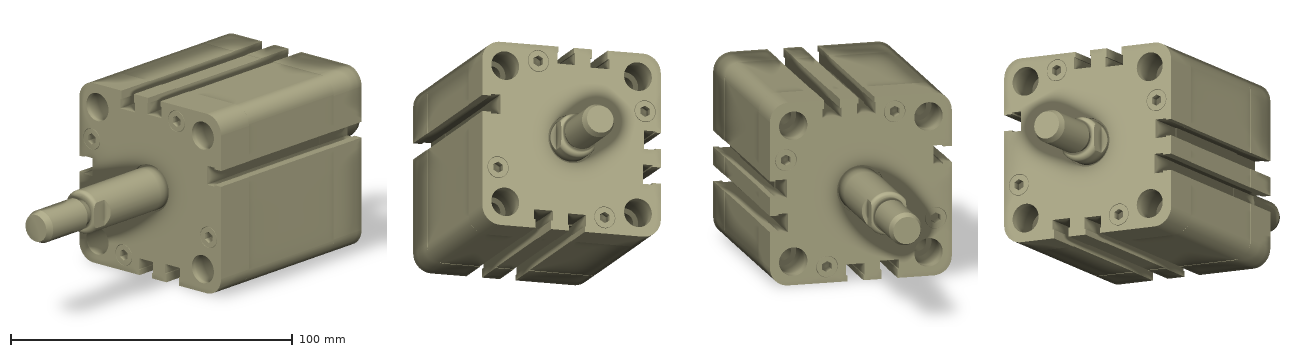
import cadquery as cq
import math


total_length = 168.5
cap_side = 67.0
tube_side = 66.7
body_length = 75.7
cap_length = 15.0
rear_rod_length = 31.3

rear_tip_y = total_length / 2
front_tip_y = -total_length / 2
body_back_y = rear_tip_y - rear_rod_length
body_front_y = body_back_y - body_length
tube_back_y = body_back_y - cap_length
tube_front_y = body_front_y + cap_length

cap_corner_radius = 6.7
tube_corner_radius = 6.0

slot_mouth = 5.9
deep_slot_offset = -10.6
deep_slot_cavity = 7.0
deep_slot_lip = 3.2
deep_slot_depth = 6.7
shallow_slot_offset = 2.0
shallow_slot_cavity = 6.7
shallow_slot_lip = 2.0
shallow_slot_depth = 6.2
shallow_slot_tube_depth = 5.5

deep_slot_turns = (0, 90, 180, 270)
shallow_slot_turns = (0, 180, 270)

mount_offset = 25.0
mount_hole_diameter = 6.5
mount_bore_diameter = 10.5

screw_x = 12.5
screw_z = 27.6
screw_pocket_diameter = 8.0
screw_head_diameter = 7.5
screw_gap_depth = 0.8
socket_across_flats = 3.5
socket_depth = 3.4

rod_diameter = 16.0
rod_ring_diameter = 17.5
rod_ring_depth = 0.8

thread_diameter = 12.0
thread_tip_diameter = 10.0
thread_tip_length = 2.5
thread_length = 21.0
undercut_diameter = 10.0
undercut_taper_length = 0.5
shoulder_distance = 24.0
shoulder_radius = 1.7
flat_end_distance = 29.7
flat_runout_length = 1.5
across_flats = 12.8


def section(y_back):
    """Sketch plane across the rod axis; positive extrusion runs toward -Y."""
    return cq.Workplane("XZ", origin=(0, y_back, 0))


def rounded_block(y_front, y_back, side, corner_radius):
    block = section(y_back).rect(side, side).extrude(y_back - y_front)
    return block.edges("|Y").fillet(corner_radius)


def turned(shape, angle):
    return shape.rotate((0, 0, 0), (0, 1, 0), angle)


def mirrored_to_back(shape):
    """Mirror a front-end shape about the middle of the body."""
    middle_y = (body_front_y + body_back_y) / 2
    return shape.mirror("XZ", (0, middle_y, 0))


def top_slot(offset, cavity, lip, depth, top, y_front, y_back):
    """T-slot cutter below a top side at height `top`, between two positions along Y."""
    half_mouth = slot_mouth / 2
    half_cavity = cavity / 2
    lip_z = top - lip
    floor_z = top - depth
    outline = [
        (offset - half_mouth, top),
        (offset - half_mouth, lip_z),
        (offset - half_cavity, lip_z),
        (offset - half_cavity, floor_z),
        (offset + half_cavity, floor_z),
        (offset + half_cavity, lip_z),
        (offset + half_mouth, lip_z),
        (offset + half_mouth, top),
    ]
    return section(y_back).polyline(outline).close().extrude(y_back - y_front)


def cut_slots(block, side, shallow_depth, y_front, y_back):
    span = (side / 2, y_front, y_back)
    deep_slot = top_slot(deep_slot_offset, deep_slot_cavity, deep_slot_lip, deep_slot_depth, *span)
    shallow_slot = top_slot(
        shallow_slot_offset, shallow_slot_cavity, shallow_slot_lip, shallow_depth, *span
    )
    for angle in deep_slot_turns:
        block = block.cut(turned(deep_slot, angle))
    for angle in shallow_slot_turns:
        block = block.cut(turned(shallow_slot, angle))
    return block


def make_cap(y_front, y_back):
    cap = rounded_block(y_front, y_back, cap_side, cap_corner_radius)
    return cut_slots(cap, cap_side, shallow_slot_depth, y_front, y_back)


def make_tube():
    tube = rounded_block(tube_front_y, tube_back_y, tube_side, tube_corner_radius)
    return cut_slots(tube, tube_side, shallow_slot_tube_depth, tube_front_y, tube_back_y)


def make_body():
    front_cap = make_cap(body_front_y, tube_front_y)
    back_cap = make_cap(tube_back_y, body_back_y)
    return front_cap.union(make_tube()).union(back_cap)


def cut_mounting_holes(body):
    pitch = 2 * mount_offset
    holes = section(body_back_y).rect(pitch, pitch, forConstruction=True).vertices()
    body = body.cut(holes.circle(mount_hole_diameter / 2).extrude(body_length))
    bores = section(tube_front_y).rect(pitch, pitch, forConstruction=True).vertices()
    front_bores = bores.circle(mount_bore_diameter / 2).extrude(cap_length)
    return body.cut(front_bores).cut(mirrored_to_back(front_bores))


def cut_screws(body):
    places = [
        (screw_x, screw_z),
        (screw_z, -screw_x),
        (-screw_x, -screw_z),
        (-screw_z, screw_x),
    ]
    gaps = (
        section(body_front_y + screw_gap_depth)
        .pushPoints(places)
        .circle(screw_pocket_diameter / 2)
        .extrude(screw_gap_depth)
    )
    heads = (
        section(body_front_y + screw_gap_depth)
        .pushPoints(places)
        .circle(screw_head_diameter / 2)
        .extrude(screw_gap_depth)
    )
    socket_corner_diameter = socket_across_flats / math.cos(math.radians(30))
    socket = (
        section(body_front_y + socket_depth)
        .transformed(rotate=(0, 0, 90))
        .polygon(6, socket_corner_diameter)
        .extrude(socket_depth)
    )
    front_cutter = gaps.cut(heads)
    for x, z in places:
        front_cutter = front_cutter.union(socket.translate((x, 0, z)))
    return body.cut(front_cutter).cut(mirrored_to_back(front_cutter))


def cut_rod_rings(body):
    ring = (
        section(body_front_y + rod_ring_depth)
        .circle(rod_ring_diameter / 2)
        .circle(rod_diameter / 2)
        .extrude(rod_ring_depth)
    )
    return body.cut(ring).cut(mirrored_to_back(ring))


def flat_cutter(tip_y, inward):
    """Cutter for the +X wrench flat, with a sloped run-out up to the rod surface."""
    flat_x = across_flats / 2
    rod_radius = rod_diameter / 2
    flat_end_y = tip_y + inward * flat_end_distance
    runout_y = flat_end_y + inward * flat_runout_length
    outline = [(flat_x, tip_y), (flat_x, flat_end_y), (rod_radius, runout_y), (rod_radius, tip_y)]
    return cq.Workplane("XY").polyline(outline).close().extrude(rod_radius, both=True)


def make_rod_end(tip_y, inward):
    """Threaded stub, undercut and rounded shoulder, from one tip to mid-length."""
    thread_radius = thread_diameter / 2
    undercut_radius = undercut_diameter / 2
    rod_radius = rod_diameter / 2
    round_center_radius = rod_radius - shoulder_radius
    round_center_distance = shoulder_distance + shoulder_radius
    round_reach = shoulder_radius * math.sqrt(0.5)

    def point(radius, distance):
        return (radius, tip_y + inward * distance)

    profile = (
        cq.Workplane("XY")
        .moveTo(*point(0, 0))
        .lineTo(*point(thread_tip_diameter / 2, 0))
        .lineTo(*point(thread_radius, thread_tip_length))
        .lineTo(*point(thread_radius, thread_length))
        .lineTo(*point(undercut_radius, thread_length + undercut_taper_length))
        .lineTo(*point(undercut_radius, shoulder_distance))
        .lineTo(*point(round_center_radius, shoulder_distance))
        .threePointArc(
            point(round_center_radius + round_reach, round_center_distance - round_reach),
            point(rod_radius, round_center_distance),
        )
        .lineTo(*point(rod_radius, total_length / 2))
        .lineTo(*point(0, total_length / 2))
        .close()
    )
    rod_end = profile.revolve(360, (0, 0, 0), (0, 1, 0))
    flat = flat_cutter(tip_y, inward)
    return rod_end.cut(flat).cut(turned(flat, 180))


body = make_body()
body = cut_mounting_holes(body)
body = cut_screws(body)
body = cut_rod_rings(body)
rod = make_rod_end(front_tip_y, 1).union(make_rod_end(rear_tip_y, -1))
result = body.union(rod)